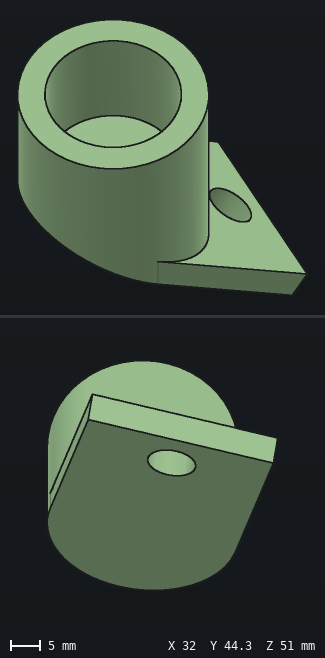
import cadquery as cq
import math

tube_diameter = 32.0
bore_diameter = 22.8
bore_depth = 20.0
front_wall_height = 22.0
overall_height = 51.0
plate_angle = 35.0
plate_thickness = 5.0
hole_diameter = 8.1
hole_to_plate_end = 7.5

tube_radius = tube_diameter / 2
slope = math.radians(plate_angle)
fall_per_mm = math.tan(slope)
front_low_z = overall_height - front_wall_height
thickness_y = plate_thickness * math.sin(slope)
thickness_z = plate_thickness * math.cos(slope)
low_end_y = front_low_z / fall_per_mm - tube_radius
high_end_y = low_end_y + thickness_y


def extrude_side_profile(points):
    """Extrude a (Y, Z) profile across the full width, centred on X = 0."""
    return cq.Workplane("YZ").polyline(points).close().extrude(tube_radius, both=True)


def make_tube():
    """Upright cylinder with its foot cut along the sloping underside."""
    cylinder = cq.Workplane("XY").circle(tube_radius).extrude(overall_height)
    back_low_z = front_low_z - tube_diameter * fall_per_mm
    above_underside = extrude_side_profile([
        (-tube_radius, front_low_z),
        (tube_radius, back_low_z),
        (tube_radius, overall_height),
        (-tube_radius, overall_height),
    ])
    return cylinder.intersect(above_underside)


def make_plate():
    """Sloping plate with straight sides, starting at the tube's widest section."""
    axis_low_z = front_low_z - tube_radius * fall_per_mm
    axis_high_z = axis_low_z + plate_thickness / math.cos(slope)
    return extrude_side_profile([
        (0, axis_low_z),
        (low_end_y, 0),
        (high_end_y, thickness_z),
        (0, axis_high_z),
    ])


def make_bore():
    """Flat-bottomed blind bore, open at the top of the tube."""
    floor_z = overall_height - bore_depth
    return cq.Workplane("XY", origin=(0, 0, floor_z)).circle(bore_diameter / 2).extrude(bore_depth)


def make_plate_hole():
    """Through hole square to the plate, near its free end."""
    hole_y = low_end_y - hole_to_plate_end * math.cos(slope)
    hole_z = hole_to_plate_end * math.sin(slope)
    plate_normal = (0, math.sin(slope), math.cos(slope))
    underside = cq.Plane(origin=(0, hole_y, hole_z), xDir=(1, 0, 0), normal=plate_normal)
    return cq.Workplane(underside).circle(hole_diameter / 2).extrude(plate_thickness)


body = make_tube().union(make_plate())
result = body.cut(make_bore()).cut(make_plate_hole())